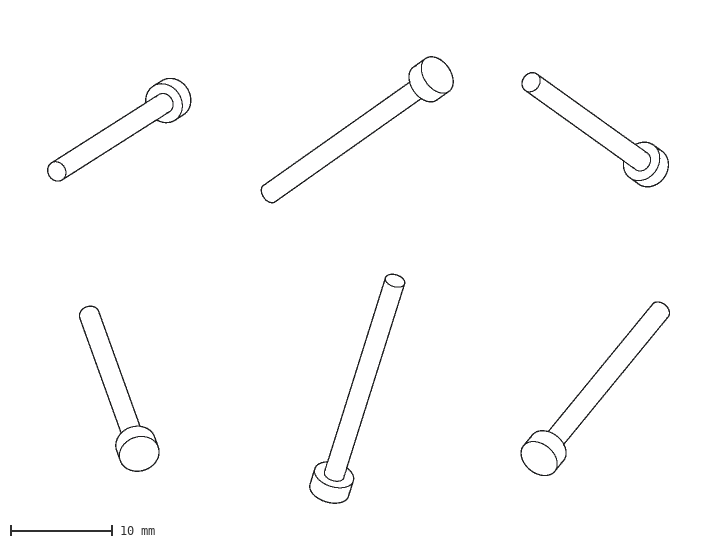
import cadquery as cq

total_length = 27.0
head_diameter = 4.0
head_length = head_diameter / 2
shaft_diameter = head_diameter / 2
shaft_length = total_length - head_length

shaft = cq.Workplane("XZ").circle(shaft_diameter / 2).extrude(shaft_length)
head = cq.Workplane("XZ").circle(head_diameter / 2).extrude(-head_length)

result = shaft.union(head)